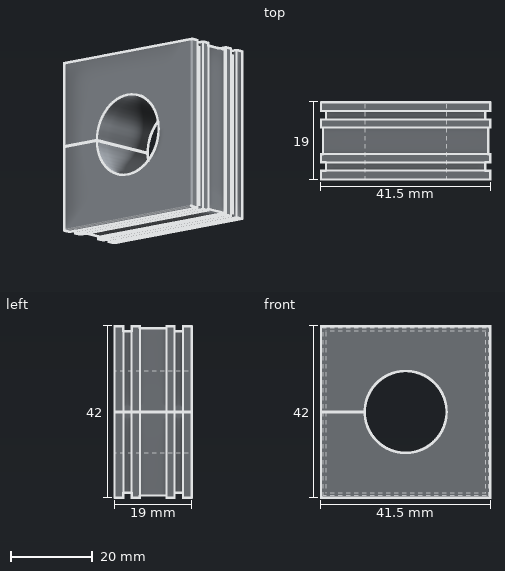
import cadquery as cq

width = 41.5
depth = 19.0
height = 42.0
bore_diameter = 20.0
slit_width = 0.2

outer_rib = 2.23
inner_rib = 2.0
groove_width = 2.0
groove_depth = 1.2
waist_depth = 0.5
waist_width = depth - 2 * (outer_rib + groove_width + inner_rib)

rim_radius = 0.2


def slab(center_y, thickness, inset=0.0):
    """Rectangular slice of the block, set in on all four sides."""
    block = cq.Workplane("XY").box(width - 2 * inset, thickness, height - 2 * inset)
    return block.translate((0, center_y, 0))


def channel(center_y, channel_width, channel_depth):
    """Ring of material to remove all round the block."""
    return slab(center_y, channel_width).cut(slab(center_y, channel_width, channel_depth))


def rounded_block():
    """Full block with rounded rims on its two end faces."""
    return slab(0, depth).faces("<Y or >Y").edges().fillet(rim_radius)


groove_center = depth / 2 - outer_rib - groove_width / 2
body = rounded_block().cut(channel(0, waist_width, waist_depth))
for side in (-1, 1):
    body = body.cut(channel(side * groove_center, groove_width, groove_depth))

bore = cq.Workplane("XZ", origin=(0, depth / 2, 0)).circle(bore_diameter / 2).extrude(depth)
body = body.cut(bore)

slit_length = width / 2
slit = cq.Workplane("XY").box(slit_length, depth, slit_width).translate((-slit_length / 2, 0, 0))
result = body.cut(slit)